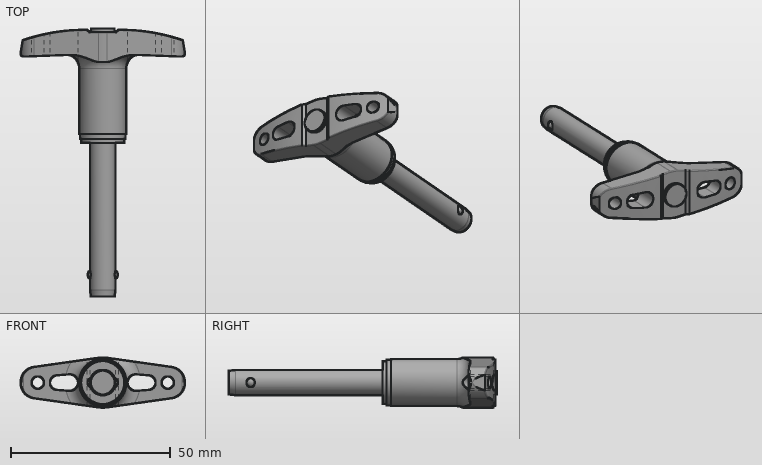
import cadquery as cq
import math


TOTAL_LENGTH = 84.0
PIN_LENGTH = 48.2
PIN_RADIUS = 4.0
PIN_TIP_RADIUS = 3.75
PIN_TIP_LENGTH = 2.1
BALL_RADIUS = 1.5
BALL_REACH = 4.75
BALL_TO_TIP = 6.9

LIP_RADIUS = 6.75
LIP_END_Y = 1.2
COLLAR_RADIUS = 7.2
COLLAR_END_Y = 2.7
BARREL_RADIUS = 7.4
BARREL_END_Y = 23.3
FLARE_RADIUS = 4.2

HANDLE_HALF_LENGTH = 25.75
HANDLE_HALF_WIDTH = 7.895
MIDDLE_RADIUS = 9.0
END_RADIUS = 5.0

NOTCH_FLOOR_HALF_WIDTH = 4.0
NOTCH_FLOOR_Y = 34.7
CREST = (5.0, 35.42)
DOME_MIDDLE = (16.0, 34.5)
DOME_END = (25.1, 32.1)
TIP_LOW_Y = 28.2
TIP_ROUND_END = (24.6, 26.95)
UNDERSIDE_SLOPE = math.radians(2.4)
TOP_EDGE_RADIUS = 0.3

HOLE_X = 20.35
HOLE_RADIUS = 1.9
SLOT_INNER_X = 7.78
SLOT_OUTER_X = 16.5
SLOT_INNER_RADIUS = 2.55
SLOT_OUTER_RADIUS = 2.25

BUTTON_RADIUS = 3.7
BUTTON_TOP_Y = TOTAL_LENGTH - PIN_LENGTH


def tangent_points(big, big_radius, small, small_radius):
    """Ends of the +Z tangent line joining two circles, the larger one at lower X."""
    run_x = small[0] - big[0]
    run_z = small[1] - big[1]
    lean = math.asin((big_radius - small_radius) / math.hypot(run_x, run_z)) - math.atan2(run_z, run_x)
    across = math.sin(lean)
    up = math.cos(lean)
    return (
        (big[0] + big_radius * across, big[1] + big_radius * up),
        (small[0] + small_radius * across, small[1] + small_radius * up),
    )


def make_plan():
    """Tapered plan of the handle, extruded past the button top."""
    middle_tangent, end_tangent = tangent_points(
        (0, HANDLE_HALF_WIDTH - MIDDLE_RADIUS),
        MIDDLE_RADIUS,
        (HANDLE_HALF_LENGTH - END_RADIUS, 0),
        END_RADIUS,
    )
    return (
        cq.Workplane("XZ")
        .moveTo(-middle_tangent[0], middle_tangent[1])
        .threePointArc((0, HANDLE_HALF_WIDTH), middle_tangent)
        .lineTo(*end_tangent)
        .threePointArc((HANDLE_HALF_LENGTH, 0), (end_tangent[0], -end_tangent[1]))
        .lineTo(middle_tangent[0], -middle_tangent[1])
        .threePointArc((0, -HANDLE_HALF_WIDTH), (-middle_tangent[0], -middle_tangent[1]))
        .lineTo(-end_tangent[0], -end_tangent[1])
        .threePointArc((-HANDLE_HALF_LENGTH, 0), (-end_tangent[0], end_tangent[1]))
        .close()
        .extrude(-TOTAL_LENGTH)
    )


def make_side_envelope():
    """Side profile: domed back with a notch for the button, leaning ends and rounded lower tips."""
    return (
        cq.Workplane("XY")
        .moveTo(0, NOTCH_FLOOR_Y)
        .lineTo(NOTCH_FLOOR_HALF_WIDTH, NOTCH_FLOOR_Y)
        .lineTo(*CREST)
        .threePointArc(DOME_MIDDLE, DOME_END)
        .lineTo(HANDLE_HALF_LENGTH, TIP_LOW_Y)
        .tangentArcPoint(TIP_ROUND_END, relative=False)
        .lineTo(TIP_ROUND_END[0], -PIN_LENGTH)
        .lineTo(0, -PIN_LENGTH)
        .mirrorY()
        .extrude(HANDLE_HALF_WIDTH, both=True)
    )


def make_turned_body():
    """Stepped barrel, concave flare and the conical underside of the arms, filled up to the button top."""
    flare_center_x = BARREL_RADIUS + FLARE_RADIUS
    flare_end_x = flare_center_x + FLARE_RADIUS * math.sin(UNDERSIDE_SLOPE)
    flare_end_y = BARREL_END_Y + FLARE_RADIUS * math.cos(UNDERSIDE_SLOPE)
    rim_x = HANDLE_HALF_LENGTH + END_RADIUS
    rim_y = flare_end_y - (rim_x - flare_end_x) * math.tan(UNDERSIDE_SLOPE)
    return (
        cq.Workplane("XY")
        .lineTo(LIP_RADIUS, 0)
        .lineTo(LIP_RADIUS, LIP_END_Y)
        .lineTo(COLLAR_RADIUS, LIP_END_Y)
        .lineTo(COLLAR_RADIUS, COLLAR_END_Y)
        .lineTo(BARREL_RADIUS, COLLAR_END_Y)
        .lineTo(BARREL_RADIUS, BARREL_END_Y)
        .tangentArcPoint((flare_end_x, flare_end_y), relative=False)
        .lineTo(rim_x, rim_y)
        .lineTo(rim_x, BUTTON_TOP_Y)
        .lineTo(0, BUTTON_TOP_Y)
        .close()
        .revolve(360, (0, 0, 0), (0, 1, 0))
    )


def make_handle():
    """Handle and barrel in one piece, with the edges of the domed back rounded."""
    body = make_side_envelope().intersect(make_plan()).intersect(make_turned_body())
    dome_box = cq.selectors.BoxSelector(
        (-DOME_END[0], DOME_END[1], -HANDLE_HALF_WIDTH),
        (DOME_END[0], CREST[1], HANDLE_HALF_WIDTH),
    )
    return body.edges(dome_box).edges("not |Z").fillet(TOP_EDGE_RADIUS)


def round_bar(radius, start_y, end_y):
    """Cylinder on the pin axis."""
    return cq.Workplane("XZ", origin=(0, start_y, 0)).circle(radius).extrude(start_y - end_y)


def make_arm_openings():
    """Cutter for the lanyard hole and the tapered finger slot of the +X arm."""
    inner = (SLOT_INNER_X + SLOT_INNER_RADIUS, 0)
    outer = (SLOT_OUTER_X - SLOT_OUTER_RADIUS, 0)
    inner_tangent, outer_tangent = tangent_points(inner, SLOT_INNER_RADIUS, outer, SLOT_OUTER_RADIUS)
    slot = (
        cq.Workplane("XZ")
        .moveTo(*inner_tangent)
        .lineTo(*outer_tangent)
        .threePointArc((SLOT_OUTER_X, 0), (outer_tangent[0], -outer_tangent[1]))
        .lineTo(inner_tangent[0], -inner_tangent[1])
        .threePointArc((SLOT_INNER_X, 0), inner_tangent)
        .close()
        .extrude(-TOTAL_LENGTH)
    )
    hole = cq.Workplane("XZ").center(HOLE_X, 0).circle(HOLE_RADIUS).extrude(-TOTAL_LENGTH)
    return slot.union(hole)


def make_pin():
    """Straight shank with a tapered tip and a locking ball on each side."""
    tip_y = -PIN_LENGTH
    pin = (
        cq.Workplane("XY")
        .moveTo(0, LIP_END_Y)
        .lineTo(PIN_RADIUS, LIP_END_Y)
        .lineTo(PIN_RADIUS, tip_y + PIN_TIP_LENGTH)
        .lineTo(PIN_TIP_RADIUS, tip_y)
        .lineTo(0, tip_y)
        .close()
        .revolve(360, (0, 0, 0), (0, 1, 0))
    )
    ball_x = BALL_REACH - BALL_RADIUS
    for x in (-ball_x, ball_x):
        ball = cq.Workplane("XY").sphere(BALL_RADIUS).translate((x, tip_y + BALL_TO_TIP, 0))
        pin = pin.union(ball)
    return pin


def make_grip():
    """Handle with both arms opened up, plus the release button."""
    openings = make_arm_openings()
    grip = make_handle().cut(openings).cut(openings.mirror("YZ"))
    return grip.union(round_bar(BUTTON_RADIUS, BARREL_END_Y, BUTTON_TOP_Y))


result = make_grip().union(make_pin())